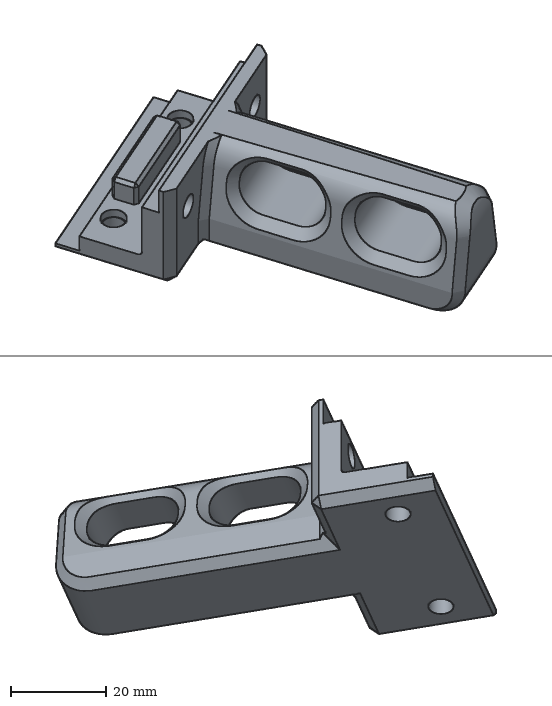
import cadquery as cq
import math

length = 87.0
width = 50.0
edge_chamfer = 2.1

lip_depth = 5.6
lip_height = 3.0
base_height = 7.05
wall_front = 20.0
wall_back = 27.1
ledge_height = 20.8
rail_front = 23.9
plate_height = 27.1
inner_fillet = 1.05

key_size_x = 6.1
key_size_y = 22.6
key_height = 5.6
key_chamfer = 0.8
key_center_x = 9.7

hole_diameter = 5.3
hole_offset_y = 17.0
base_hole_x = 9.8
base_hole_mouth_diameter = 5.6
base_hole_mouth_depth = 2.1
wall_hole_z = 17.1

grip_half_width = 10.1
lean_start_z = 8.4
shoulder_z = 21.75
shoulder_half_width = 7.7
shoulder_radius = 7.3
end_radius = 8.0
grip_top_z = 27.5
grip_top_end_x = 82.2
flare = 1.7

lean = math.atan2(grip_half_width - shoulder_half_width, shoulder_z - lean_start_z)
shoulder_center_y = shoulder_half_width - shoulder_radius * math.cos(lean)
shoulder_center_z = shoulder_z - shoulder_radius * math.sin(lean)
crest_z = shoulder_center_z + shoulder_radius
end_arc_x = length - end_radius

window_length = 19.9
window_height = 12.8
window_radius = 6.0
window_z = 17.9
window_pitch = 26.7
first_window_x = 44.0
rim_margin = 0.1


def make_plate():
    """Stepped plate; the edges at the bottom and at the back corners are chamfered."""
    profile = [
        (0, 0),
        (wall_back, 0),
        (wall_back, plate_height),
        (rail_front, plate_height),
        (rail_front, ledge_height),
        (wall_front, ledge_height),
        (wall_front, base_height),
        (lip_depth, base_height),
        (lip_depth, lip_height),
        (0, lip_height),
    ]
    plate = cq.Workplane("XZ").polyline(profile).close().extrude(width / 2, both=True)
    inner_corner = cq.selectors.NearestToPointSelector((wall_front, 0, base_height))
    plate = plate.edges(inner_corner).fillet(inner_fillet)
    outer_edges = plate.edges("(>X and |Z) or (<Z and >X) or (<Z and >Y) or (<Z and <Y)")
    return outer_edges.chamfer(edge_chamfer)


def make_key():
    key = cq.Workplane("XY", origin=(key_center_x, 0, base_height))
    key = key.rect(key_size_x, key_size_y).extrude(key_height)
    return key.edges("|Z or >Z").chamfer(key_chamfer)


def side_prism(points):
    """Prism across the full width from an outline of (x, z) points."""
    return cq.Workplane("XZ").polyline(points).close().extrude(width / 2, both=True)


def cross_prism(half_width_low, half_width_high, height, start_x, end_x):
    """Prism along X whose half width runs from low at z = 0 to high at the given height."""
    points = [
        (-half_width_low, 0),
        (half_width_low, 0),
        (half_width_high, height),
        (-half_width_high, height),
    ]
    return cq.Workplane("YZ", origin=(start_x, 0, 0)).polyline(points).close().extrude(end_x - start_x)


def lower_grip():
    """Straight-sided block, rounded at the lower end corner and chamfered along it."""
    block = cross_prism(grip_half_width, grip_half_width, crest_z, rail_front, length)
    block = block.edges(">X and <Z").fillet(end_radius)
    return block.edges("(>Y or <Y) and (not <X) and (not >Z)").chamfer(edge_chamfer)


def upper_grip():
    """Block with leaning sides and round shoulders, chamfered around its rounded top end."""
    base_half_width = shoulder_half_width + shoulder_z * math.tan(lean)
    crest_half_width = base_half_width - crest_z * math.tan(lean)
    block = cross_prism(base_half_width, crest_half_width, crest_z, rail_front, length)
    block = block.edges("|X and >Z").fillet(shoulder_radius)
    end_rounding = (
        cq.Workplane("XZ")
        .lineTo(length, 0)
        .lineTo(length, shoulder_z)
        .radiusArc((end_arc_x, shoulder_z + end_radius), -end_radius)
        .lineTo(0, shoulder_z + end_radius)
        .close()
        .extrude(width / 2, both=True)
    )
    block = block.intersect(end_rounding)
    end_region = cq.selectors.BoxSelector(
        (end_arc_x, -width, -0.9), (length + 0.9, width, crest_z + 0.9), boundingbox=True
    )
    return block.edges(end_region).edges("not <Z").chamfer(edge_chamfer)


def below_top():
    """Space below the top of the grip, which rises slightly from the plate to the end."""
    return side_prism([
        (wall_back, 0),
        (length, 0),
        (length, grip_top_z),
        (grip_top_end_x, grip_top_z),
        (wall_back, plate_height),
        (rail_front, plate_height),
        (rail_front, 0),
    ])


def make_grip():
    return lower_grip().intersect(upper_grip()).intersect(below_top())


def grip_section(x, growth):
    """Closed grip cross-section at x, with sides and shoulders moved outward by growth."""
    radius = shoulder_radius + growth

    def on_shoulder(side, angle):
        y = shoulder_center_y + radius * math.cos(angle)
        return side * y, shoulder_center_z + radius * math.sin(angle)

    side_y = grip_half_width + growth
    side_z = lean_start_z + growth * math.tan(lean / 2)
    crest_angle = math.pi / 2
    middle_angle = (lean + crest_angle) / 2
    section = (
        cq.Workplane("YZ", origin=(x, 0, 0))
        .moveTo(-side_y, 0)
        .lineTo(side_y, 0)
        .lineTo(side_y, side_z)
        .lineTo(*on_shoulder(1, lean))
        .threePointArc(on_shoulder(1, middle_angle), on_shoulder(1, crest_angle))
        .lineTo(*on_shoulder(-1, crest_angle))
        .threePointArc(on_shoulder(-1, middle_angle), on_shoulder(-1, lean))
        .lineTo(-side_y, side_z)
        .close()
    )
    return section.val()


def make_flare():
    """Widening of the grip at the plate, mitred between the bottom chamfers of both."""
    flare_end = wall_back + flare
    sections = [grip_section(wall_back, flare), grip_section(flare_end, 0)]
    flare_body = cq.Workplane(cq.Solid.makeLoft(sections, True))
    foot_half_width = grip_half_width - edge_chamfer
    above_grip_chamfer = cross_prism(
        foot_half_width, foot_half_width + plate_height, plate_height, wall_back, flare_end
    )
    above_plate_chamfer = side_prism([
        (wall_back, edge_chamfer),
        (flare_end, edge_chamfer + flare),
        (flare_end, plate_height),
        (wall_back, plate_height),
    ])
    return flare_body.intersect(above_grip_chamfer.union(above_plate_chamfer)).intersect(below_top())


def cut_window(grip, center_x):
    """Cut a rounded window through the grip and chamfer both rims."""
    window = (
        cq.Workplane("XZ", origin=(center_x, 0, window_z))
        .rect(window_length, window_height)
        .extrude(width / 2, both=True)
        .edges("|Y")
        .fillet(window_radius)
    )
    reach_x = window_length / 2 + rim_margin
    reach_z = window_height / 2 + rim_margin
    rim_region = cq.selectors.BoxSelector(
        (center_x - reach_x, -width, window_z - reach_z),
        (center_x + reach_x, width, window_z + reach_z),
        boundingbox=True,
    )
    return grip.cut(window).edges(rim_region).edges("not |Y").chamfer(edge_chamfer)


def drill_holes(body):
    """Two vertical holes in the base, wider at the mouth, and two horizontal holes in the wall."""
    for y in (-hole_offset_y, hole_offset_y):
        base_hole = cq.Workplane("XY", origin=(base_hole_x, y, 0))
        body = body.cut(base_hole.circle(hole_diameter / 2).extrude(base_height))
        mouth = cq.Workplane("XY", origin=(base_hole_x, y, base_height))
        body = body.cut(mouth.circle(base_hole_mouth_diameter / 2).extrude(-base_hole_mouth_depth))
        wall_hole = cq.Workplane("YZ", origin=(wall_front, y, wall_hole_z))
        body = body.cut(wall_hole.circle(hole_diameter / 2).extrude(wall_back - wall_front))
    return body


grip = make_grip()
for window_index in range(2):
    grip = cut_window(grip, first_window_x + window_index * window_pitch)

plate = drill_holes(make_plate().union(make_key()))
result = plate.union(make_flare()).union(grip)